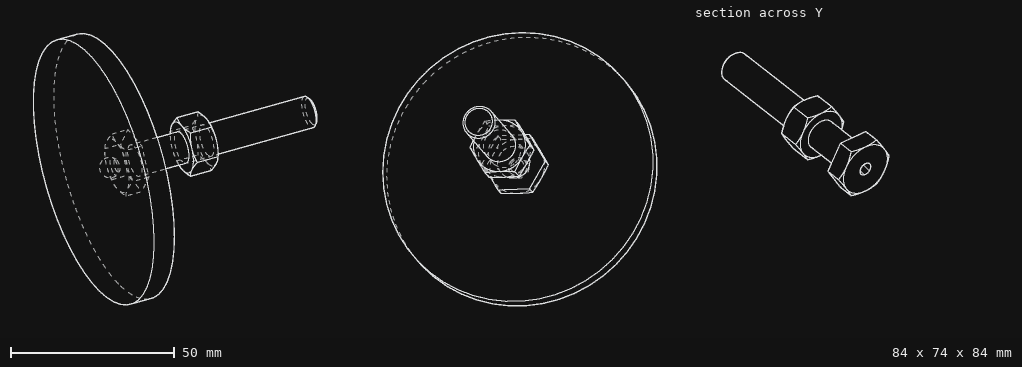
import cadquery as cq
import math


plate_diameter = 84.0
plate_thickness = 7.0

total_height = 74.0
shank_diameter = 10.0
tip_chamfer = 0.75
collar_flats = 17.0
collar_thickness = 6.1
collar_gap = 0.9
ball_diameter = 6.3
ball_center_y = 5.55
collar_bottom = plate_thickness + collar_gap
collar_top = collar_bottom + collar_thickness

nut_flats = 16.1
nut_thickness = 8.5
nut_bottom = 30.0

hex_chamfer_angle = 30.0


def cylinder(diameter, bottom, height):
    """Cylinder along +Y starting at y = bottom."""
    plane = cq.Workplane("XZ", origin=(0, bottom, 0))
    return plane.circle(diameter / 2).extrude(-height)


def hexagon(flats, bottom, height, chamfer_top):
    """Hexagonal prism along +Y, corners on X, with its corners turned to a cone at the ends."""
    corner_diameter = flats / math.cos(math.radians(30))
    plane = cq.Workplane("XZ", origin=(0, bottom, 0))
    prism = plane.polygon(6, corner_diameter).extrude(-height)

    chamfer_width = (corner_diameter - flats) / 2
    chamfer_height = chamfer_width * math.tan(math.radians(hex_chamfer_angle))
    radius = corner_diameter / 2
    top = bottom + height
    envelope = (
        cq.Workplane("XY")
        .moveTo(0, bottom)
        .lineTo(flats / 2, bottom)
        .lineTo(radius, bottom + chamfer_height)
    )
    if chamfer_top:
        envelope = envelope.lineTo(radius, top - chamfer_height).lineTo(flats / 2, top)
    else:
        envelope = envelope.lineTo(radius, top)
    envelope = envelope.lineTo(0, top).close().revolve(360, (0, 0, 0), (0, 1, 0))
    return prism.intersect(envelope)


def make_ball():
    """Ball joint at the foot of the stud; it also shapes the socket in the plate."""
    return cq.Workplane("XZ", origin=(0, ball_center_y, 0)).sphere(ball_diameter / 2)


def make_plate():
    """Round base plate with a socket that fits the ball."""
    return cylinder(plate_diameter, 0, plate_thickness).cut(make_ball())


def make_stud():
    """Shank with a chamfered tip, hexagonal collar and ball."""
    shank = cylinder(shank_diameter, collar_top, total_height - collar_top)
    shank = shank.faces(">Y").chamfer(tip_chamfer)
    collar = hexagon(collar_flats, collar_bottom, collar_thickness, chamfer_top=False)
    return shank.union(collar).union(make_ball())


def make_nut():
    """Lock nut, chamfered at both ends, bored to fit the shank."""
    body = hexagon(nut_flats, nut_bottom, nut_thickness, chamfer_top=True)
    return body.cut(cylinder(shank_diameter, nut_bottom, nut_thickness))


plate = make_plate()
stud = make_stud()
nut = make_nut()

result = cq.Compound.makeCompound([plate.val(), stud.val(), nut.val()])